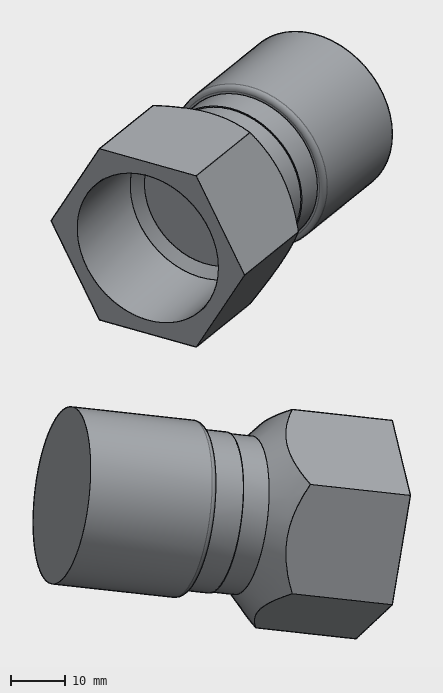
import cadquery as cq
import math

length = 61.0
hex_flats = 36.0
hex_corners = hex_flats / math.cos(math.pi / 6)

sleeve_diameter = 33.0
collar_diameter = 30.0
neck_diameter = 29.5

shoulder_start = 25.55
collar_start = 30.6
sleeve_start = 36.25
sleeve_rounding = 1.05
shoulder_angle = 45.0

bore_diameter = 30.3
floor_diameter = 26.5
bore_depth = 19.3
taper_length = (bore_diameter - floor_diameter) / 2


def revolve_about_axis(points):
    """Revolve a (radius, axial place) outline about the Y axis."""
    return cq.Workplane("XY").polyline(points).close().revolve(360, (0, 0), (0, 1))


def make_nut():
    """Hexagon with two flats facing up and down, trimmed by the shoulder cone."""
    prism = cq.Workplane("XZ").polygon(6, hex_corners).extrude(-shoulder_start)
    corner_radius = hex_corners / 2
    neck_radius = neck_diameter / 2
    cone_length = (corner_radius - neck_radius) / math.tan(math.radians(shoulder_angle))
    envelope = revolve_about_axis([
        (0, 0),
        (corner_radius, 0),
        (corner_radius, shoulder_start - cone_length),
        (neck_radius, shoulder_start),
        (0, shoulder_start),
    ])
    return prism.intersect(envelope)


def make_body():
    """Stepped round body: neck, collar and sleeve with a rounded inner end."""
    neck_radius = neck_diameter / 2
    collar_radius = collar_diameter / 2
    sleeve_radius = sleeve_diameter / 2
    body = revolve_about_axis([
        (0, shoulder_start),
        (neck_radius, shoulder_start),
        (neck_radius, collar_start),
        (collar_radius, collar_start),
        (collar_radius, sleeve_start),
        (sleeve_radius, sleeve_start),
        (sleeve_radius, length),
        (0, length),
    ])
    inner_end = cq.selectors.BoxSelector(
        (-sleeve_diameter, sleeve_start - sleeve_rounding, -sleeve_diameter),
        (sleeve_diameter, sleeve_start + sleeve_rounding, sleeve_diameter),
    )
    return body.edges(inner_end).edges(cq.selectors.RadiusNthSelector(-1)).fillet(sleeve_rounding)


def make_bore():
    """Cylindrical bore ending in a taper and a flat floor."""
    return revolve_about_axis([
        (0, 0),
        (bore_diameter / 2, 0),
        (bore_diameter / 2, bore_depth),
        (floor_diameter / 2, bore_depth + taper_length),
        (0, bore_depth + taper_length),
    ])


result = make_nut().union(make_body()).cut(make_bore()).translate((0, -length / 2, 0))